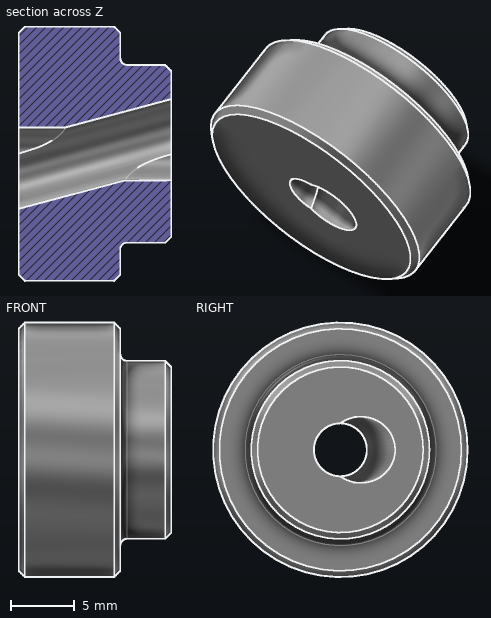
import cadquery as cq
import math

head_diameter = 20.0
head_length = 8.0
hub_diameter = 14.0
hub_length = 4.0
total_length = head_length + hub_length
edge_chamfer = 0.5
root_fillet = 0.5

straight_bore_diameter = 4.15
tilted_bore_diameter = 5.2
tilt_angle = 15.0


def turned_body():
    """Chamfered head and hub, with a fillet where they meet."""
    head_radius = head_diameter / 2
    hub_radius = hub_diameter / 2
    fillet_offset = root_fillet * (1 - math.sqrt(0.5))
    return (
        cq.Workplane("XY")
        .lineTo(0, head_radius - edge_chamfer)
        .lineTo(edge_chamfer, head_radius)
        .lineTo(head_length - edge_chamfer, head_radius)
        .lineTo(head_length, head_radius - edge_chamfer)
        .lineTo(head_length, hub_radius + root_fillet)
        .threePointArc(
            (head_length + fillet_offset, hub_radius + fillet_offset),
            (head_length + root_fillet, hub_radius),
        )
        .lineTo(total_length - edge_chamfer, hub_radius)
        .lineTo(total_length, hub_radius - edge_chamfer)
        .lineTo(total_length, 0)
        .close()
        .revolve(360, (0, 0, 0), (1, 0, 0))
    )


def through_bore(diameter, angle):
    """Bore through the middle of the part, tilted from X toward +Y."""
    cutter_length = 2 * total_length
    middle = total_length / 2
    return (
        cq.Workplane("YZ", origin=(middle, 0, 0))
        .circle(diameter / 2)
        .extrude(cutter_length / 2, both=True)
        .rotate((middle, 0, 0), (middle, 0, 1), angle)
    )


result = (
    turned_body()
    .cut(through_bore(straight_bore_diameter, 0))
    .cut(through_bore(tilted_bore_diameter, tilt_angle))
)